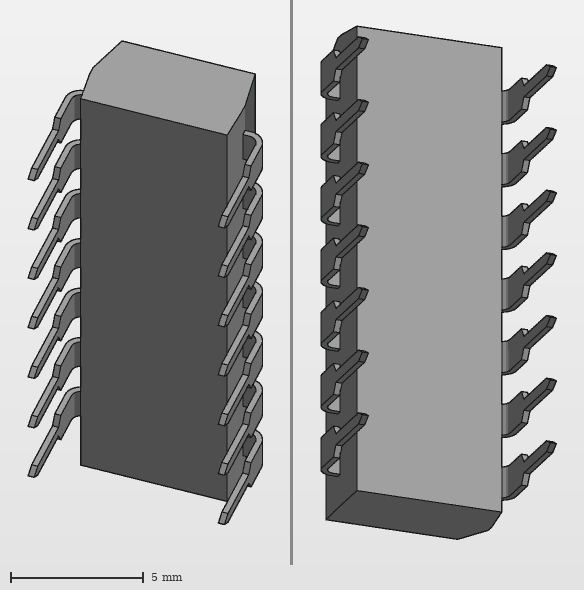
import cadquery as cq
import math


body_length = 19.05
body_width = 6.1
lid_height = 2.15
band_height = 0.38
base_height = 1.28
lid_draft = 10.0
base_draft = 5.0

leads_per_side = 7
end_margin = 1.9
lead_span = 7.87
lead_thickness = 0.25
bend_radius = 0.63
lead_embed = 0.2
wide_width = 1.25
neck_width = 0.45
wide_end = 1.77
neck_start = 2.02
tip_start = 4.3
lead_drop = 4.7

lead_pitch = (body_length - 2 * end_margin) / (leads_per_side - 1)


def drafted_block(start_y, height, draft, direction):
    """Block from the full body section at start_y, narrowing along direction (+1 or -1) in Y."""
    plane = cq.Plane(origin=(0, start_y, 0), xDir=(1, 0, 0), normal=(0, direction, 0))
    return cq.Workplane(plane).rect(body_width, body_length).extrude(height, taper=draft)


def make_body():
    lid = drafted_block(0, lid_height, lid_draft, 1)
    band = drafted_block(0, band_height, 0, -1)
    base = drafted_block(-band_height, base_height, base_draft, -1)
    return lid.union(band).union(base)


def make_lead():
    """Lead on the +X side at Z = 0: a bent strip trimmed to the stepped, pointed outline."""
    outer_x = lead_span / 2
    inner_x = outer_x - lead_thickness
    root_x = body_width / 2 - lead_embed
    bend_x = outer_x - bend_radius
    inner_radius = bend_radius - lead_thickness
    diagonal = math.sqrt(0.5)

    strip = (
        cq.Workplane("XY")
        .moveTo(root_x, 0)
        .lineTo(bend_x, 0)
        .threePointArc(
            (bend_x + bend_radius * diagonal, -bend_radius + bend_radius * diagonal),
            (outer_x, -bend_radius),
        )
        .lineTo(outer_x, -lead_drop)
        .lineTo(inner_x, -lead_drop)
        .lineTo(inner_x, -bend_radius)
        .threePointArc(
            (bend_x + inner_radius * diagonal, -bend_radius + inner_radius * diagonal),
            (bend_x, -lead_thickness),
        )
        .lineTo(root_x, -lead_thickness)
        .close()
        .extrude(wide_width / 2, both=True)
    )

    half_wide = wide_width / 2
    half_neck = neck_width / 2
    outline = (
        cq.Workplane("YZ")
        .polyline([
            (0, half_wide),
            (-wide_end, half_wide),
            (-neck_start, half_neck),
            (-tip_start, half_neck),
            (-lead_drop, 0),
            (-tip_start, -half_neck),
            (-neck_start, -half_neck),
            (-wide_end, -half_wide),
            (0, -half_wide),
        ])
        .close()
        .extrude(outer_x)
    )
    return strip.intersect(outline)


result = make_body()
right_lead = make_lead()
left_lead = right_lead.mirror("YZ")
for index in range(leads_per_side):
    lead_z = -body_length / 2 + end_margin + index * lead_pitch
    for lead in (right_lead, left_lead):
        result = result.union(lead.translate((0, 0, lead_z)))